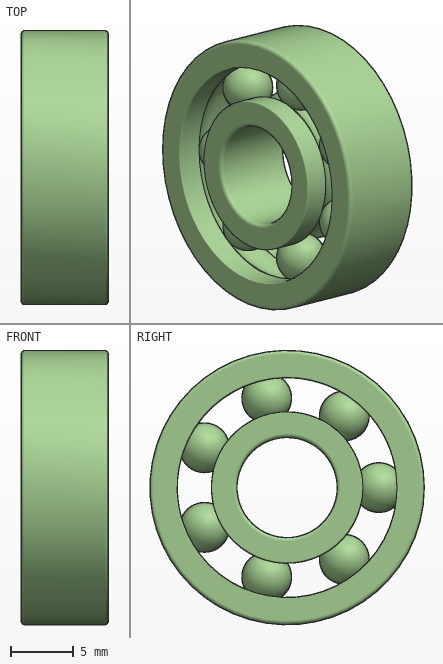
import cadquery as cq

WIDTH = 7.0
OUTER_DIAMETER = 22.0
OUTER_SHOULDER_DIAMETER = 17.6
INNER_SHOULDER_DIAMETER = 12.15
BORE_DIAMETER = 8.0

BALL_COUNT = 7
BALL_DIAMETER = 4.0
PITCH_RADIUS = 7.35

RIM_FILLET = 0.3
SHOULDER_FILLET = 0.1


def ring_blank(outer_diameter, inner_diameter, outer_fillet, inner_fillet):
    """Plain ring along X, with its outer and inner edges rounded."""
    ring = (
        cq.Workplane("YZ", origin=(-WIDTH / 2, 0, 0))
        .circle(outer_diameter / 2)
        .circle(inner_diameter / 2)
        .extrude(WIDTH)
    )
    inner_edges = cq.selectors.RadiusNthSelector(0)
    outer_edges = cq.selectors.RadiusNthSelector(-1)
    ring = ring.faces("<X or >X").edges(inner_edges).fillet(inner_fillet)
    return ring.faces("%CYLINDER").edges(outer_edges).fillet(outer_fillet)


def ball_track():
    """Torus swept by the balls; it cuts the matching groove in each ring."""
    return cq.Workplane(
        cq.Solid.makeTorus(PITCH_RADIUS, BALL_DIAMETER / 2, cq.Vector(0, 0, 0), cq.Vector(1, 0, 0))
    )


def make_outer_ring():
    blank = ring_blank(OUTER_DIAMETER, OUTER_SHOULDER_DIAMETER, RIM_FILLET, SHOULDER_FILLET)
    return blank.cut(ball_track())


def make_inner_ring():
    blank = ring_blank(INNER_SHOULDER_DIAMETER, BORE_DIAMETER, SHOULDER_FILLET, RIM_FILLET)
    return blank.cut(ball_track())


def make_ball(angle):
    """One ball on the pitch circle, at an angle in degrees from +Y about the X axis."""
    return (
        cq.Workplane("XY")
        .sphere(BALL_DIAMETER / 2)
        .rotate((0, 0, 0), (0, 1, 0), 90)
        .translate((0, PITCH_RADIUS, 0))
        .rotate((0, 0, 0), (1, 0, 0), angle)
    )


outer_ring = make_outer_ring()
inner_ring = make_inner_ring()
balls = [make_ball(index * 360 / BALL_COUNT) for index in range(BALL_COUNT)]

result = cq.Compound.makeCompound(
    [outer_ring.val(), inner_ring.val(), *[ball.val() for ball in balls]]
)